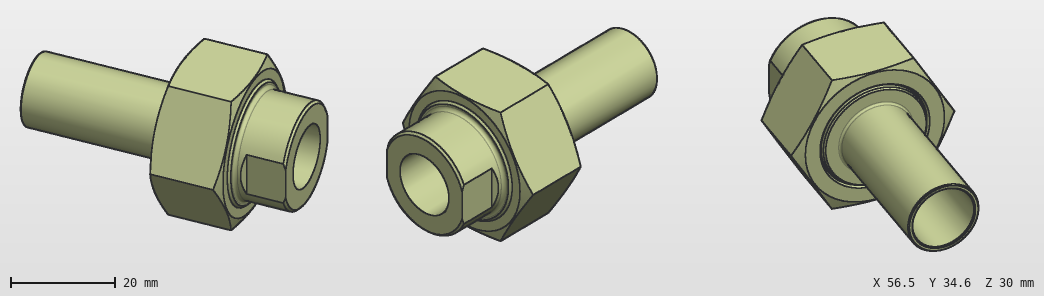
import cadquery as cq
import math


total_length = 56.5
collar_face_x = 30.0
nut_start_x = 30.45
nut_length = 15.05
nut_end_x = nut_start_x + nut_length
nut_shoulder_x = nut_start_x + 2.25
joint_x = nut_shoulder_x + 2.25
body_step_x = nut_end_x + 0.5

bore_diameter = 13.0
bore_radius = bore_diameter / 2
pipe_radius = 15.05 / 2
pipe_end_chamfer = 0.2
pipe_root_fillet = 0.45
collar_radius = 22.0 / 2
collar_chamfer = 0.35
flange_radius = 25.0 / 2

across_flats = 30.0
across_corners = across_flats / math.cos(math.radians(30))
nut_bore_radius = 22.5 / 2
nut_bore_chamfer = 0.4
thread_radius = 25.35 / 2
corner_chamfer_angle = 20.0
face_radius = 14.75

spigot_radius = 22.0 / 2
spigot_end_chamfer = 0.5
spigot_root_fillet = 0.8
thread_end_chamfer = 0.5
wrench_flat_width = 20.0
wrench_flat_start_x = 48.35
wrench_ramp_length = 0.85


def revolve_about_x(profile):
    """Revolve a profile, drawn as (x, radius), about the X axis."""
    return profile.close().revolve(360, (0, 0, 0), (1, 0, 0))


def make_tailpiece():
    fillet_offset = pipe_root_fillet * (1 - math.sqrt(0.5))
    profile = (
        cq.Workplane("XY")
        .moveTo(0, bore_radius + pipe_end_chamfer)
        .lineTo(0, pipe_radius - pipe_end_chamfer)
        .lineTo(pipe_end_chamfer, pipe_radius)
        .lineTo(collar_face_x - pipe_root_fillet, pipe_radius)
        .threePointArc(
            (collar_face_x - fillet_offset, pipe_radius + fillet_offset),
            (collar_face_x, pipe_radius + pipe_root_fillet),
        )
        .lineTo(collar_face_x, collar_radius - collar_chamfer)
        .lineTo(collar_face_x + collar_chamfer, collar_radius)
        .lineTo(nut_shoulder_x, collar_radius)
        .lineTo(nut_shoulder_x, flange_radius)
        .lineTo(joint_x, flange_radius)
        .lineTo(joint_x, bore_radius)
        .lineTo(pipe_end_chamfer, bore_radius)
    )
    return revolve_about_x(profile)


def make_nut():
    hexagon = (
        cq.Workplane("YZ", origin=(nut_start_x, 0, 0))
        .polygon(6, across_corners)
        .extrude(nut_length)
    )

    envelope_radius = across_corners / 2 + 0.55
    chamfer_slope = math.tan(math.radians(corner_chamfer_angle))
    corner_chamfer_length = (envelope_radius - face_radius) * chamfer_slope
    profile = (
        cq.Workplane("XY")
        .moveTo(nut_start_x, nut_bore_radius + nut_bore_chamfer)
        .lineTo(nut_start_x, face_radius)
        .lineTo(nut_start_x + corner_chamfer_length, envelope_radius)
        .lineTo(nut_end_x - corner_chamfer_length, envelope_radius)
        .lineTo(nut_end_x, face_radius)
        .lineTo(nut_end_x, thread_radius)
        .lineTo(nut_shoulder_x, thread_radius)
        .lineTo(nut_shoulder_x, nut_bore_radius)
        .lineTo(nut_start_x + nut_bore_chamfer, nut_bore_radius)
    )
    return hexagon.intersect(revolve_about_x(profile))


def make_wrench_flat_cutter():
    """Cutter for the +Y flat, with a sloped run-out towards the nut."""
    flat_y = wrench_flat_width / 2
    flat_depth = spigot_radius - flat_y
    return (
        cq.Workplane("XY")
        .moveTo(wrench_flat_start_x, flat_y)
        .lineTo(total_length, flat_y)
        .lineTo(total_length, flat_y + 2 * flat_depth)
        .lineTo(wrench_flat_start_x - 2 * wrench_ramp_length, flat_y + 2 * flat_depth)
        .close()
        .extrude(spigot_radius, both=True)
    )


def make_body():
    fillet_offset = spigot_root_fillet * (1 - math.sqrt(0.5))
    profile = (
        cq.Workplane("XY")
        .moveTo(joint_x, bore_radius)
        .lineTo(joint_x, thread_radius)
        .lineTo(body_step_x - thread_end_chamfer, thread_radius)
        .lineTo(body_step_x, thread_radius - thread_end_chamfer)
        .lineTo(body_step_x, spigot_radius + spigot_root_fillet)
        .threePointArc(
            (body_step_x + fillet_offset, spigot_radius + fillet_offset),
            (body_step_x + spigot_root_fillet, spigot_radius),
        )
        .lineTo(total_length - spigot_end_chamfer, spigot_radius)
        .lineTo(total_length, spigot_radius - spigot_end_chamfer)
        .lineTo(total_length, bore_radius)
    )
    cutter = make_wrench_flat_cutter()
    return revolve_about_x(profile).cut(cutter).cut(cutter.mirror("XZ"))


tailpiece = make_tailpiece()
nut = make_nut()
body = make_body()

result = cq.Compound.makeCompound([tailpiece.val(), nut.val(), body.val()])